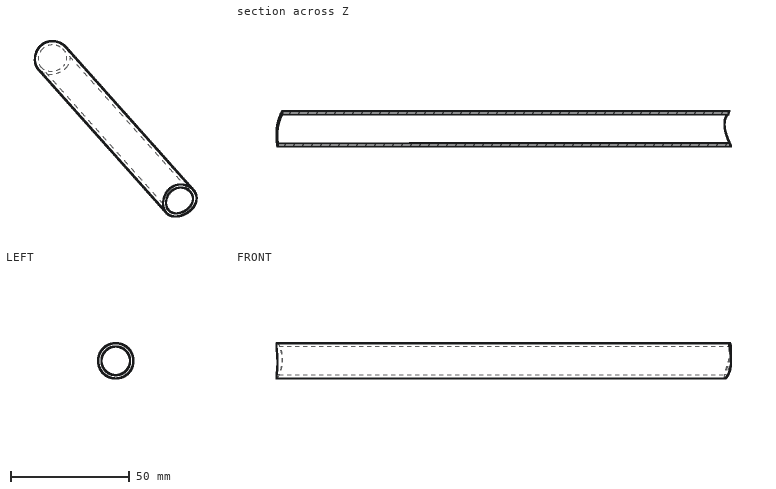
import cadquery as cq
import math

OUTER_DIAMETER = 15.0
WALL = 1.5
AXIS_LENGTH = 188.78

LEFT_MATING_RADIUS = 22.0
RIGHT_MATING_RADIUS = 17.5
MATING_TILT = 8.4

LEFT_COPE_TURN = 95.0
RIGHT_COPE_TURN = 19.0

MATING_LENGTH = 4 * OUTER_DIAMETER
BLANK_LENGTH = AXIS_LENGTH + 2 * OUTER_DIAMETER


def make_blank():
    """Plain round tube, overlong at both ends."""
    bore_diameter = OUTER_DIAMETER - 2 * WALL
    return (
        cq.Workplane("YZ")
        .circle(OUTER_DIAMETER / 2)
        .circle(bore_diameter / 2)
        .extrude(BLANK_LENGTH / 2, both=True)
    )


def make_cope(side, mating_radius, turn):
    """Mating cylinder at one end; side is -1 for the -X end and +1 for the +X end."""
    radius_along_tube = mating_radius / math.cos(math.radians(MATING_TILT))
    centre_x = side * (AXIS_LENGTH / 2 + radius_along_tube)
    return (
        cq.Workplane("XY")
        .circle(mating_radius)
        .extrude(MATING_LENGTH / 2, both=True)
        .rotate((0, 0, 0), (0, 1, 0), side * MATING_TILT)
        .rotate((0, 0, 0), (1, 0, 0), turn)
        .translate((centre_x, 0, 0))
    )


left_cope = make_cope(-1, LEFT_MATING_RADIUS, LEFT_COPE_TURN)
right_cope = make_cope(1, RIGHT_MATING_RADIUS, RIGHT_COPE_TURN)
result = make_blank().cut(left_cope).cut(right_cope)